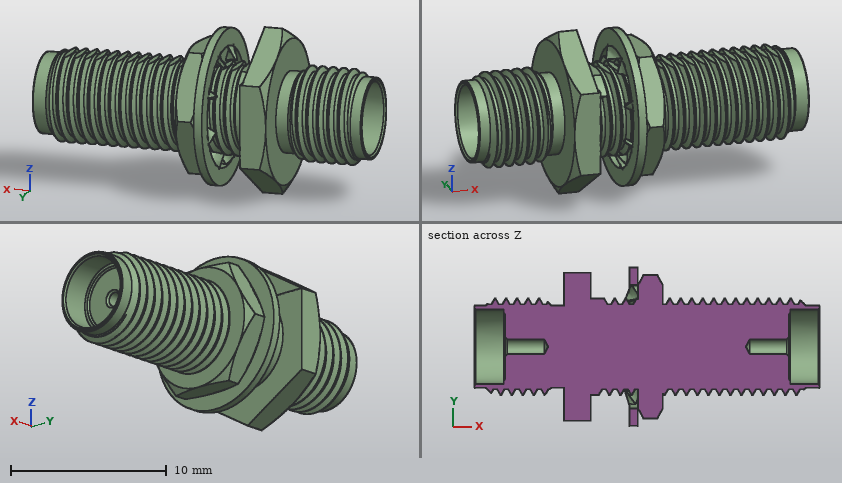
import cadquery as cq
import math

TOTAL_LENGTH = 22.2

COLLAR_RADIUS = 2.655
COLLAR_EDGE_CHAMFER = 0.06
FRONT_COLLAR_LENGTH = 0.75
REAR_COLLAR_LENGTH = 0.92

PITCH = 25.4 / 36
CREST_RADIUS = 3.1
ROOT_RADIUS = 2.74
CREST_FLAT = 0.06
GROOVE_CLEARANCE = 0.1
THREAD_FLANK_ANGLE = 30
END_CONE_LENGTH = 0.45
END_OVERRUN_TURNS = 2
FRONT_THREAD_END = 4.96
FRONT_CREST_X = 1.536
REAR_GROOVE_START_X = 8.27
REAR_GROOVE_START_ANGLE = 146.3
TOP_ANGLE = 90

HEX_FRONT = 5.76
HEX_BACK = 7.5
HEX_ACROSS_FLATS = 9.5
D_FLAT_HEIGHT = 2.77
D_FLAT_START = 7.38

WASHER_FRONT = 9.97
WASHER_RADIUS = 5.1
WASHER_INNER_RADIUS = 3.95
TOOTH_COUNT = 8
TOOTH_TIP_RADIUS = 3.1
TOOTH_ROOT_OVERLAP = 0.15
TOOTH_BASE_WIDTH = 1.3
TOOTH_BASE_THICKNESS = 0.5
TOOTH_TIP_WIDTH = 1.2
TOOTH_TIP_THICKNESS = 0.25
TOOTH_TWIST = 60
FIRST_TOOTH_ANGLE = 30

NUT_FRONT = 10.52
NUT_BACK = 12.12
NUT_ACROSS_FLATS = 8.0
HEX_CHAMFER_ANGLE = 30

SOCKET_RADIUS = 2.38
SOCKET_MOUTH_RADIUS = 2.5
SOCKET_DEPTH = 1.9
INSULATOR_RADIUS = 2.05
INSULATOR_MOUTH_RADIUS = 2.17
INSULATOR_RECESS = 0.1
CONTACT_RADIUS = 0.46
CONTACT_MOUTH_RADIUS = 0.6
CONTACT_DEPTH = 2.5
CONTACT_CONE_DEPTH = 0.25


def revolve_about_x(points):
    """Revolve a closed outline of (x, radius) points about the X axis."""
    return cq.Workplane("XY").polyline(points).close().revolve(360, (0, 0, 0), (1, 0, 0))


def cylinder(x_start, x_end, radius):
    return cq.Workplane("YZ").workplane(offset=x_start).circle(radius).extrude(x_end - x_start)


def helical_groove(x_start, angle, length):
    """Right-handed thread groove starting at x_start, angle measured from +Y towards +Z."""
    slope = math.tan(math.radians(THREAD_FLANK_ANGLE))
    crest_half = (PITCH - CREST_FLAT) / 2
    root_half = crest_half - (CREST_RADIUS - ROOT_RADIUS) * slope
    mouth_half = crest_half + GROOVE_CLEARANCE * slope
    mouth_radius = CREST_RADIUS + GROOVE_CLEARANCE
    path = cq.Wire.makeHelix(PITCH, length, ROOT_RADIUS)
    profile = cq.Workplane("XZ").polyline([
        (ROOT_RADIUS, -root_half),
        (mouth_radius, -mouth_half),
        (mouth_radius, mouth_half),
        (ROOT_RADIUS, root_half),
    ]).close()
    groove = profile.sweep(cq.Workplane(obj=path), isFrenet=True)
    groove = groove.rotate((0, 0, 0), (0, 1, 0), 90)
    return groove.rotate((0, 0, 0), (1, 0, 0), angle + 90).translate((x_start, 0, 0))


def thread_end_trim(end, direction):
    """Ring outside the cone at a thread end; direction is the way out along X, +1 or -1."""
    ring_radius = 2 * CREST_RADIUS
    cone_slope = END_CONE_LENGTH / (CREST_RADIUS - COLLAR_RADIUS)
    cone_reach = cone_slope * (ring_radius - COLLAR_RADIUS)
    outside = end + direction * END_OVERRUN_TURNS * 2 * PITCH
    return revolve_about_x([
        (end, 0),
        (end, COLLAR_RADIUS),
        (end - direction * cone_reach, ring_radius),
        (outside, ring_radius),
        (outside, 0),
    ])


def front_thread():
    groove_start = FRONT_CREST_X - PITCH / 2 - END_OVERRUN_TURNS * PITCH
    groove_end = FRONT_THREAD_END + END_OVERRUN_TURNS * PITCH
    blank = cylinder(groove_start - PITCH, groove_end + PITCH, CREST_RADIUS)
    thread = blank.cut(helical_groove(groove_start, TOP_ANGLE, groove_end - groove_start), clean=False)
    thread = thread.cut(thread_end_trim(FRONT_COLLAR_LENGTH, -1), clean=False)
    return thread.cut(thread_end_trim(FRONT_THREAD_END, 1), clean=False)


def rear_thread():
    end = TOTAL_LENGTH - REAR_COLLAR_LENGTH
    groove_end = end + END_OVERRUN_TURNS * PITCH
    blank_start = (HEX_FRONT + HEX_BACK) / 2
    blank = cylinder(blank_start, groove_end + PITCH, CREST_RADIUS)
    groove = helical_groove(REAR_GROOVE_START_X, REAR_GROOVE_START_ANGLE, groove_end - REAR_GROOVE_START_X)
    return blank.cut(groove, clean=False).cut(thread_end_trim(end, 1), clean=False)


def hexagon(x_start, x_end, across_flats, corner_angle, chamfer_back):
    """Hexagon prism whose corners are chamfered by cones that touch the flats."""
    corner_radius = across_flats / math.sqrt(3)
    prism = (
        cq.Workplane("YZ").workplane(offset=x_start)
        .polygon(6, 2 * corner_radius).extrude(x_end - x_start)
        .rotate((0, 0, 0), (1, 0, 0), corner_angle)
    )
    face_radius = across_flats / 2
    outer_radius = 2 * corner_radius - face_radius
    drop = (outer_radius - face_radius) * math.tan(math.radians(HEX_CHAMFER_ANGLE))
    envelope = [(x_start, 0), (x_start, face_radius), (x_start + drop, outer_radius)]
    if chamfer_back:
        envelope += [(x_end - drop, outer_radius), (x_end, face_radius)]
    else:
        envelope += [(x_end, outer_radius)]
    envelope += [(x_end, 0)]
    return prism.intersect(revolve_about_x(envelope))


def d_flat_cutter():
    size = (TOTAL_LENGTH, 2 * HEX_ACROSS_FLATS, HEX_ACROSS_FLATS)
    cutter = cq.Workplane("XY").box(*size, centered=(False, True, False))
    return cutter.translate((D_FLAT_START, 0, D_FLAT_HEIGHT))


def washer_tooth(angle):
    """Radial tooth that narrows and twists towards its tip."""
    base_radius = WASHER_INNER_RADIUS + TOOTH_ROOT_OVERLAP
    thickness = NUT_FRONT - WASHER_FRONT
    tooth = (
        cq.Workplane("XY").workplane(offset=TOOTH_TIP_RADIUS)
        .transformed(rotate=(0, 0, TOOTH_TWIST)).rect(TOOTH_TIP_THICKNESS, TOOTH_TIP_WIDTH)
        .transformed(rotate=(0, 0, -TOOTH_TWIST), offset=(0, 0, base_radius - TOOTH_TIP_RADIUS))
        .rect(TOOTH_BASE_THICKNESS, TOOTH_BASE_WIDTH)
        .loft(ruled=True)
    )
    behind_washer = cq.Workplane("XY").box(
        TOOTH_TIP_WIDTH, 2 * TOOTH_BASE_WIDTH, 2 * WASHER_RADIUS, centered=(False, True, True)
    )
    tooth = tooth.cut(behind_washer.translate((thickness / 2, 0, 0)))
    tooth = tooth.translate(((WASHER_FRONT + NUT_FRONT) / 2, 0, 0))
    return tooth.rotate((0, 0, 0), (1, 0, 0), angle - TOP_ANGLE)


def lock_washer():
    washer = cylinder(WASHER_FRONT, NUT_FRONT, WASHER_RADIUS)
    washer = washer.cut(cylinder(WASHER_FRONT, NUT_FRONT, WASHER_INNER_RADIUS))
    for index in range(TOOTH_COUNT):
        washer = washer.union(washer_tooth(FIRST_TOOTH_ANGLE + index * 360 / TOOTH_COUNT))
    return washer


def front_socket():
    mouth_depth = SOCKET_MOUTH_RADIUS - SOCKET_RADIUS
    insulator_x = SOCKET_DEPTH + INSULATOR_RECESS
    contact_mouth_depth = CONTACT_MOUTH_RADIUS - CONTACT_RADIUS
    contact_end = insulator_x + CONTACT_DEPTH
    return revolve_about_x([
        (0, 0),
        (0, SOCKET_MOUTH_RADIUS),
        (mouth_depth, SOCKET_RADIUS),
        (SOCKET_DEPTH, SOCKET_RADIUS),
        (SOCKET_DEPTH, INSULATOR_MOUTH_RADIUS),
        (insulator_x, INSULATOR_RADIUS),
        (insulator_x, CONTACT_MOUTH_RADIUS),
        (insulator_x + contact_mouth_depth, CONTACT_RADIUS),
        (contact_end, CONTACT_RADIUS),
        (contact_end + CONTACT_CONE_DEPTH, 0),
    ])


core = cylinder(0, TOTAL_LENGTH, COLLAR_RADIUS).faces("<X or >X").chamfer(COLLAR_EDGE_CHAMFER)
fixed_hex = hexagon(HEX_FRONT, HEX_BACK, HEX_ACROSS_FLATS, TOP_ANGLE, chamfer_back=False)
nut = hexagon(NUT_FRONT, NUT_BACK, NUT_ACROSS_FLATS, 0, chamfer_back=True)
rear_socket = front_socket().mirror("YZ").translate((TOTAL_LENGTH, 0, 0))

body = rear_thread().union(fixed_hex, clean=False).cut(d_flat_cutter(), clean=False)
for piece in (front_thread(), core, nut, lock_washer()):
    body = body.union(piece, clean=False)
result = body.cut(front_socket(), clean=False).cut(rear_socket, clean=False)